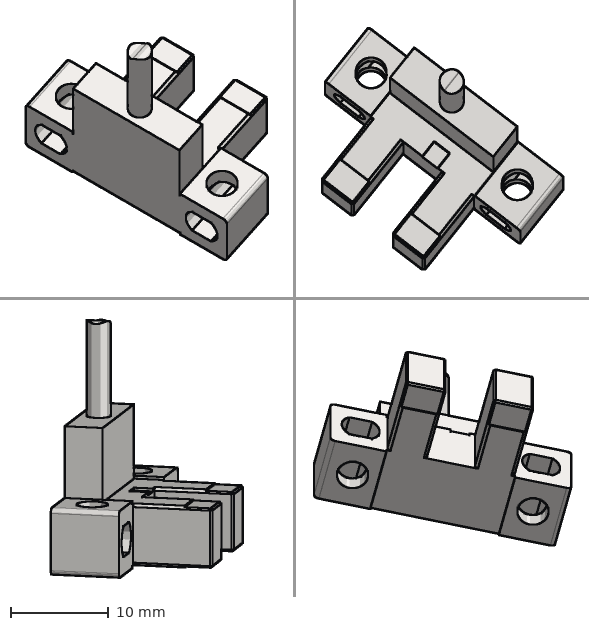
import cadquery as cq

flange_width = 25.4
flange_depth = 7.2
flange_height = 6.98
flange_corner_radius = 0.5

body_width = 13.55
body_top_recess = 0.3
body_bottom_recess = 0.23
body_top = flange_height - body_top_recess

head_width = 13.4
head_depth = 4.01
head_top = 14.45

arm_end = 15.55
arm_gap = 5.03
arm_width = (head_width - arm_gap) / 2
arm_center = (arm_gap + arm_width) / 2
arm_edge_chamfer = 0.33
tip_length = 2.95
tip_step = 0.13
tip_chamfer = arm_edge_chamfer - tip_step

cable_diameter = 2.5
cable_x = 0.25
cable_y = 2.0
part_height = 24.49
wave_height = 0.25

hole_offset = 9.5
vertical_hole_diameter = 3.2
slot_diameter = 4.0
slot_height = 3.2

pocket_width = 2.0
pocket_length = 1.98
pocket_x = -0.97
pocket_depth = 0.3


def block(width, y_start, y_end, z_start, z_end, x_center=0.0):
    """Box centred on x_center and spanning the given Y and Z ranges."""
    size = (width, y_end - y_start, z_end - z_start)
    corner = (x_center - width / 2, y_start, z_start)
    return cq.Workplane("XY").box(*size, centered=False).translate(corner)


def make_flange():
    """Rounded flange with its middle lowered to the level of the sensor body."""
    flange = block(flange_width, 0, flange_depth, 0, flange_height)
    flange = flange.edges("|Y").fillet(flange_corner_radius)
    upper_recess = block(body_width, 0, flange_depth, body_top, flange_height)
    lower_recess = block(body_width, 0, flange_depth, 0, body_bottom_recess)
    return flange.cut(upper_recess).cut(lower_recess)


def make_arm(x_center):
    """Fork arm with chamfered long edges and a slightly thinner tip."""
    tip_start = arm_end - tip_length
    shank = block(arm_width, flange_depth, tip_start, body_bottom_recess, body_top, x_center)
    shank = shank.edges("|Y").chamfer(arm_edge_chamfer)
    tip_bottom = body_bottom_recess + tip_step
    tip_top = body_top - tip_step
    tip = block(arm_width, tip_start, arm_end, tip_bottom, tip_top, x_center)
    tip = tip.edges("|Y or >Y").chamfer(tip_chamfer)
    return shank.union(tip)


def make_cable():
    """Round cable whose end is a trough followed by a crest along X."""
    radius = cable_diameter / 2
    wave_level = part_height - wave_height
    wavy_profile = (
        cq.Workplane("XZ", origin=(cable_x, cable_y, 0))
        .moveTo(-radius, head_top)
        .lineTo(-radius, wave_level)
        .threePointArc((-radius / 2, wave_level - wave_height), (0, wave_level))
        .threePointArc((radius / 2, part_height), (radius, wave_level))
        .lineTo(radius, head_top)
        .close()
        .extrude(radius, both=True)
    )
    cylinder = (
        cq.Workplane("XY", origin=(cable_x, cable_y, head_top))
        .circle(radius)
        .extrude(part_height - head_top)
    )
    return cylinder.intersect(wavy_profile)


def make_vertical_hole(x_center):
    """Cutter for the round hole down through an ear."""
    hole = cq.Workplane("XY").circle(vertical_hole_diameter / 2).extrude(flange_height)
    return hole.translate((x_center, flange_depth / 2, 0))


def make_slot(x_center):
    """Cutter for the front-to-back hole: a circle with flat top and bottom."""
    round_hole = cq.Workplane("XZ").circle(slot_diameter / 2).extrude(-flange_depth)
    flats = block(slot_diameter, 0, flange_depth, -slot_height / 2, slot_height / 2)
    return round_hole.intersect(flats).translate((x_center, 0, flange_height / 2))


result = make_flange()
result = result.union(block(head_width, 0, head_depth, body_bottom_recess, head_top))
result = result.union(make_cable())
for side in (-1, 1):
    result = result.union(make_arm(side * arm_center))
    result = result.cut(make_vertical_hole(side * hole_offset))
    result = result.cut(make_slot(side * hole_offset))

pocket_bottom = body_top - pocket_depth
pocket = block(pocket_width, flange_depth - pocket_length, flange_depth, pocket_bottom, body_top, pocket_x)
result = result.cut(pocket)